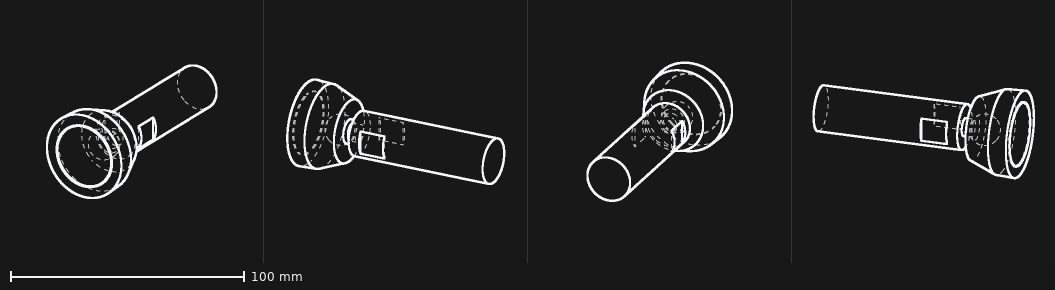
import cadquery as cq

total_length = 90.0

foot_base_diameter = 38.0
foot_shoulder_diameter = 37.3
foot_top_diameter = 28.0
foot_shoulder_height = 8.2
foot_height = 20.0
groove_outer_diameter = 28.0
groove_inner_diameter = 27.5
groove_depth = 0.5

shank_diameter = 20.0
shank_start = 25.0
neck_diameter = 7.8
ball_diameter = 13.5
ball_center = 15.9
flat_across = 17.1
flat_length = 11.6
flat_offset = 5.0
flat_start = shank_start + flat_offset


def disc(diameter, start, end):
    """Cylinder on the Y axis between two Y positions."""
    return (
        cq.Workplane("XZ", origin=(0, start, 0))
        .circle(diameter / 2)
        .extrude(start - end)
    )


def make_ball():
    return cq.Workplane("XY").sphere(ball_diameter / 2).translate((0, ball_center, 0))


def make_foot():
    """Tapered pad with a ball socket and a thin ring groove in its contact face."""
    body = (
        cq.Workplane("XY")
        .polyline([
            (0, 0),
            (foot_base_diameter / 2, 0),
            (foot_shoulder_diameter / 2, foot_shoulder_height),
            (foot_top_diameter / 2, foot_height),
            (0, foot_height),
        ])
        .close()
        .revolve(360, (0, 0, 0), (0, 1, 0))
    )
    groove = disc(groove_outer_diameter, 0, groove_depth).cut(
        disc(groove_inner_diameter, 0, groove_depth)
    )
    return body.cut(groove).cut(make_ball())


def make_ball_stud():
    """Shank, neck and ball in one piece, with two opposite wrench flats."""
    shank = disc(shank_diameter, shank_start, total_length)
    flat_depth = (shank_diameter - flat_across) / 2
    for side in (-1, 1):
        flat_cutter = cq.Workplane("XY").box(flat_depth, flat_length, shank_diameter)
        flat_x = side * (flat_across + flat_depth) / 2
        shank = shank.cut(flat_cutter.translate((flat_x, flat_start + flat_length / 2, 0)))
    neck = disc(neck_diameter, ball_center, shank_start)
    return shank.union(neck).union(make_ball())


foot = make_foot()
ball_stud = make_ball_stud()
result = cq.Compound.makeCompound([foot.val(), ball_stud.val()])